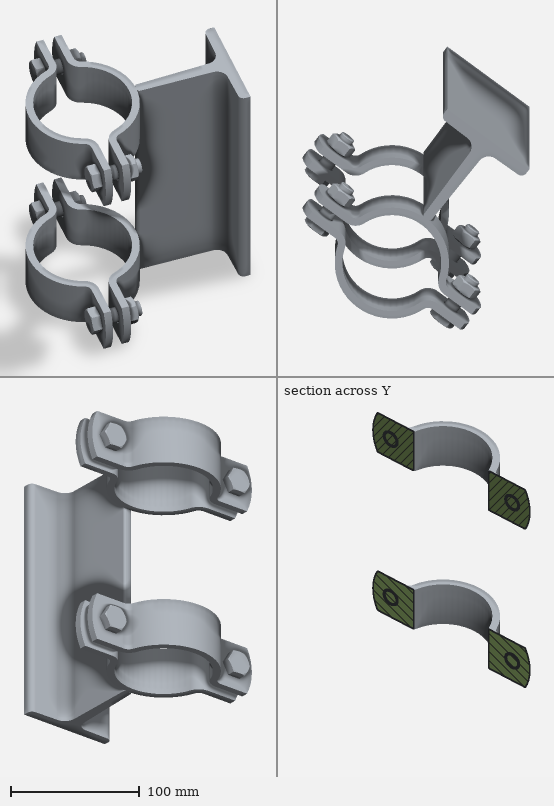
import cadquery as cq
import math

rail_length = 200
flange_width = 80
rail_height = 80
section_thickness = 9
section_taper = 0.02
root_radius = 9
flange_edge_radius = 4.5
web_edge_radius = 2

ring_outer_diameter = 88.85
band_thickness = 6
band_height = 40
ear_gap = 9
clamp_width = 158
ear_corner_inset = 4.75
bend_radius = 6

bolt_spacing = 122
bolt_diameter = 12
bolt_length = 35
bolt_tip_diameter = 11.05
clearance_hole_diameter = 14
hex_across_flats = 19
head_height = 7.5
nut_height = 10
nut_face_diameter = 17.2
head_face_diameter = hex_across_flats
hex_chamfer_angle = 30

ring_outer_radius = ring_outer_diameter / 2
ring_inner_radius = ring_outer_radius - band_thickness
ear_inner_y = ear_gap / 2
ear_outer_y = ear_inner_y + band_thickness
hex_across_corners = hex_across_flats / math.cos(math.radians(30))


def make_rail():
    """T-section with tapered web and flange; the web edge touches the clamp rings."""
    web_edge_y = ring_outer_radius
    back_y = web_edge_y + rail_height
    half_flange = flange_width / 2

    def web_half_width(y):
        return section_thickness / 2 + section_taper * (y - web_edge_y - rail_height / 2)

    def flange_face_y(x):
        return back_y - section_thickness - section_taper * (flange_width / 4 - x)

    root_x = web_half_width(flange_face_y(web_half_width(back_y)))
    root_y = flange_face_y(root_x)
    flange_edge_y = back_y - section_thickness + section_taper * (half_flange - flange_width / 4)

    right_side = [
        (web_half_width(web_edge_y), web_edge_y),
        (root_x, root_y),
        (half_flange, flange_edge_y),
        (half_flange, back_y),
    ]
    left_side = [(-x, y) for x, y in reversed(right_side)]
    rail = cq.Workplane("XY").polyline(right_side + left_side).close().extrude(rail_length)

    def round_edges(body, x, y, radius):
        reach = 0.1
        for side in (-1, 1):
            selector = cq.selectors.BoxSelector(
                (side * x - reach, y - reach, 0), (side * x + reach, y + reach, rail_length)
            )
            body = body.edges("|Z").edges(selector).fillet(radius)
        return body

    rail = round_edges(rail, root_x, root_y, root_radius)
    rail = round_edges(rail, half_flange, flange_edge_y, flange_edge_radius)
    return round_edges(rail, web_half_width(web_edge_y), web_edge_y, web_edge_radius)


def make_half_band():
    """Half ring on the +Y side with bent ears, centred on Z = 0."""
    bend_y = ear_outer_y + bend_radius
    bend_x = math.sqrt((ring_outer_radius + bend_radius) ** 2 - bend_y ** 2)
    ring_angle = math.atan2(bend_y, bend_x)
    bend_mid_angle = (ring_angle + math.pi + 1.5 * math.pi) / 2
    wide_bend_radius = bend_radius + band_thickness

    def on_ring(radius):
        return (radius * math.cos(ring_angle), radius * math.sin(ring_angle))

    def on_bend(radius):
        return (
            bend_x + radius * math.cos(bend_mid_angle),
            bend_y + radius * math.sin(bend_mid_angle),
        )

    def mirrored(point):
        return (-point[0], point[1])

    end_x = clamp_width / 2
    outer_start = on_ring(ring_outer_radius)
    inner_start = on_ring(ring_inner_radius)
    band = (
        cq.Workplane("XY")
        .moveTo(end_x, ear_inner_y)
        .lineTo(end_x, ear_outer_y)
        .lineTo(bend_x, ear_outer_y)
        .threePointArc(on_bend(bend_radius), outer_start)
        .threePointArc((0, ring_outer_radius), mirrored(outer_start))
        .threePointArc(mirrored(on_bend(bend_radius)), (-bend_x, ear_outer_y))
        .lineTo(-end_x, ear_outer_y)
        .lineTo(-end_x, ear_inner_y)
        .lineTo(-bend_x, ear_inner_y)
        .threePointArc(mirrored(on_bend(wide_bend_radius)), mirrored(inner_start))
        .threePointArc((0, ring_inner_radius), inner_start)
        .threePointArc(on_bend(wide_bend_radius), (bend_x, ear_inner_y))
        .close()
        .extrude(band_height / 2, both=True)
    )

    corner_x = end_x - ear_corner_inset
    half_height = band_height / 2
    ear_outline = (
        cq.Workplane("XZ")
        .moveTo(-corner_x, -half_height)
        .lineTo(corner_x, -half_height)
        .threePointArc((end_x, 0), (corner_x, half_height))
        .lineTo(-corner_x, half_height)
        .threePointArc((-end_x, 0), (-corner_x, -half_height))
        .close()
        .extrude(-ring_outer_radius)
    )
    bolt_holes = (
        cq.Workplane("XZ")
        .pushPoints([(-bolt_spacing / 2, 0), (bolt_spacing / 2, 0)])
        .circle(clearance_hole_diameter / 2)
        .extrude(-ear_outer_y)
    )
    return band.intersect(ear_outline).cut(bolt_holes)


def make_hex(height, face_diameter, both_ends):
    """Hexagon standing on Z = 0, corners on X, with its top (and bottom) corners coned off."""
    corner_radius = hex_across_corners / 2
    face_radius = face_diameter / 2
    cone_height = (corner_radius - face_radius) * math.tan(math.radians(hex_chamfer_angle))
    blank = cq.Workplane("XY").circle(corner_radius).extrude(height)
    blank_edges = "%CIRCLE" if both_ends else ">Z"
    blank = blank.edges(blank_edges).chamfer(cone_height, corner_radius - face_radius)
    return cq.Workplane("XY").polygon(6, hex_across_corners).extrude(height).intersect(blank)


def make_fastener():
    """Bolt with nut along +Z; the head's bearing face lies on Z = 0."""
    tip_chamfer = (bolt_diameter - bolt_tip_diameter) / 2
    shank = (
        cq.Workplane("XY").circle(bolt_diameter / 2).extrude(bolt_length).faces(">Z").chamfer(tip_chamfer)
    )
    head = make_hex(head_height, head_face_diameter, both_ends=False).rotate((0, 0, 0), (1, 0, 0), 180)
    nut = make_hex(nut_height, nut_face_diameter, both_ends=True).translate((0, 0, 2 * ear_outer_y))
    return shank.union(head).union(nut)


def make_clamp():
    """Both half bands held together by two bolts, heads toward -Y, as one solid."""
    half_band = make_half_band()
    fastener = make_fastener().rotate((0, 0, 0), (1, 0, 0), -90)
    clamp = half_band.union(half_band.mirror("XZ"))
    for x in (-bolt_spacing / 2, bolt_spacing / 2):
        clamp = clamp.union(fastener.translate((x, -ear_outer_y, 0)))
    return clamp


rail = make_rail()
clamp = make_clamp()
clamp_heights = [band_height / 2, rail_length - band_height / 2]
clamps = [clamp.translate((0, 0, z)) for z in clamp_heights]

result = cq.Compound.makeCompound([rail.val(), *[placed.val() for placed in clamps]])